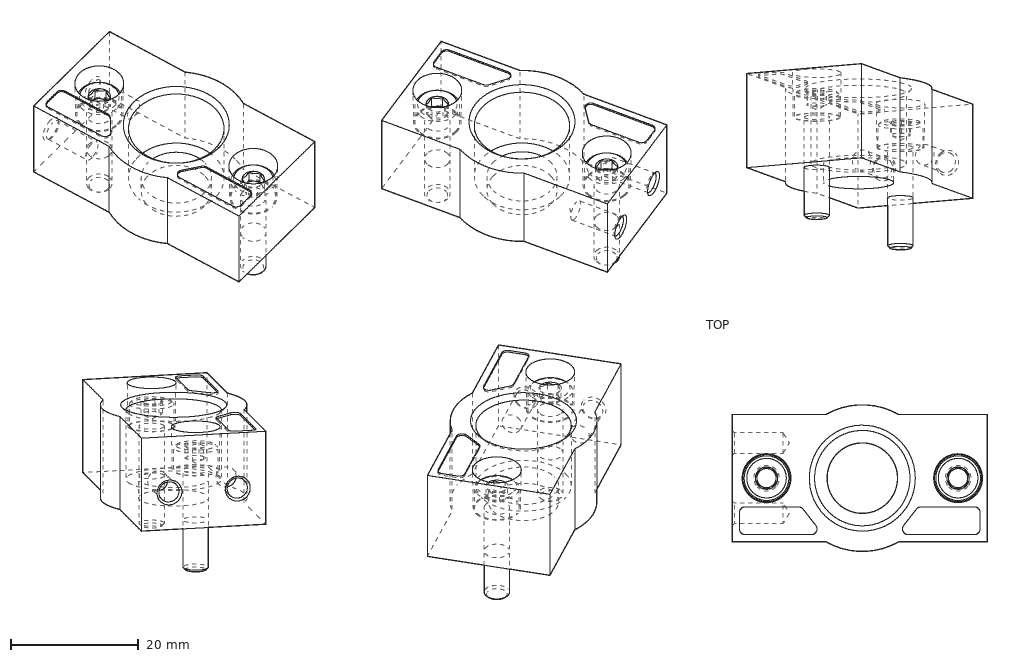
import cadquery as cq
import math

block_length = 40.0
block_width = 20.0
block_height = 15.0
bulge_diameter = 23.0

bore_x = 0.4
bore_diameter = 14.95
bore_floor_z = 3.0
bore_mouth_diameter = 16.6
bore_mouth_depth = 0.85
through_diameter = 11.0

screw_spacing = 30.0
shank_diameter = 4.0
thread_core_diameter = 3.24
thread_chamfer = (shank_diameter - thread_core_diameter) / 2
shank_projection = 8.0
head_diameter = 7.0
head_height = 4.0
head_chamfer = 0.4
head_recess = 3.0
socket_across_flats = 3.0
socket_sides = 6
socket_half_angle = 180.0 / socket_sides
socket_across_corners = socket_across_flats / math.cos(math.radians(socket_half_angle))
socket_depth = 2.0
socket_mouth_diameter = 3.5
socket_mouth_depth = 0.25
socket_point_angle = 120.0
counterbore_seat_diameter = 7.4
counterbore_mouth_diameter = 7.65
head_top_z = block_height - head_recess
head_seat_z = head_top_z - head_height
screw_centers = [(bore_x - screw_spacing / 2, 0), (bore_x + screw_spacing / 2, 0)]

side_hole_spacing = 11.0
side_hole_z = 6.0
side_hole_depth = 8.0
drill_point_angle = 118.0

label_margin = 1.15
label_depth = 0.3
label_height = 4.35
label_top_length = 9.7
label_bottom_length = 13.1
label_corner_radius = 0.9


def cone_height(diameter, tip_angle):
    return diameter / 2 / math.tan(math.radians(tip_angle / 2))


def revolve_profile(points):
    """Turn a (radius, height) outline that starts and ends on the Z axis into a solid."""
    return cq.Workplane("XZ").polyline(points).close().revolve(360, (0, 0, 0), (0, 1, 0))


def make_bore_cutter():
    bore_radius = bore_diameter / 2
    through_radius = through_diameter / 2
    mouth_radius = bore_mouth_diameter / 2
    return revolve_profile([
        (0, 0),
        (through_radius, 0),
        (through_radius, bore_floor_z),
        (bore_radius, bore_floor_z),
        (bore_radius, block_height - bore_mouth_depth),
        (mouth_radius, block_height),
        (0, block_height),
    ]).translate((bore_x, 0, 0))


def make_screw_hole_cutter():
    """Close-fitting shank hole below a counterbore that tapers open toward its mouth."""
    shank_radius = shank_diameter / 2
    return revolve_profile([
        (0, 0),
        (shank_radius, 0),
        (shank_radius, head_seat_z),
        (counterbore_seat_diameter / 2, head_seat_z),
        (counterbore_mouth_diameter / 2, block_height),
        (0, block_height),
    ])


def make_side_hole_cutter():
    """Blind hole running along +X from the origin, with a chamfered mouth and a drill point."""
    core_radius = thread_core_diameter / 2
    tip_depth = side_hole_depth + cone_height(thread_core_diameter, drill_point_angle)
    cutter = revolve_profile([
        (0, 0),
        (shank_diameter / 2, 0),
        (core_radius, thread_chamfer),
        (core_radius, side_hole_depth),
        (0, tip_depth),
    ])
    return cutter.rotate((0, 0, 0), (0, 1, 0), 90)


def make_label_pocket():
    """Pocket for the -X half: square outer end, slanted inner end, rounded corners."""
    outer_x = -block_length / 2 + label_margin
    bottom_y = -block_width / 2 + label_margin
    top_y = bottom_y + label_height
    outline = [
        (outer_x, bottom_y),
        (outer_x + label_bottom_length, bottom_y),
        (outer_x + label_top_length, top_y),
        (outer_x, top_y),
    ]
    pocket = cq.Workplane("XY").workplane(offset=block_height - label_depth)
    return pocket.polyline(outline).close().extrude(label_depth).edges("|Z").fillet(label_corner_radius)


def make_block():
    block = cq.Workplane("XY").box(block_length, block_width, block_height, centered=(True, True, False))
    bulge = cq.Workplane("XY").center(bore_x, 0).circle(bulge_diameter / 2).extrude(block_height)
    block = block.union(bulge).cut(make_bore_cutter())

    for x, y in screw_centers:
        block = block.cut(make_screw_hole_cutter().translate((x, y, 0)))

    for y in (-side_hole_spacing / 2, side_hole_spacing / 2):
        block = block.cut(make_side_hole_cutter().translate((-block_length / 2, y, side_hole_z)))

    pocket = make_label_pocket()
    return block.cut(pocket).cut(pocket.mirror("YZ"))


def make_socket_cutter():
    """Hexagon with flats facing +X and -X, a chamfered mouth and a drill point below its floor."""
    floor_z = head_top_z - socket_depth
    floor = cq.Workplane("XY", origin=(0, 0, floor_z))
    hexagon = floor.polygon(socket_sides, socket_across_corners).extrude(socket_depth)
    hexagon = hexagon.rotate((0, 0, 0), (0, 0, 1), socket_half_angle)
    mouth = revolve_profile([
        (0, head_top_z - socket_mouth_depth),
        (socket_across_flats / 2, head_top_z - socket_mouth_depth),
        (socket_mouth_diameter / 2, head_top_z),
        (0, head_top_z),
    ])
    drill_point = revolve_profile([
        (0, floor_z),
        (socket_across_flats / 2, floor_z),
        (0, floor_z - cone_height(socket_across_flats, socket_point_angle)),
    ])
    return hexagon.union(mouth).union(drill_point)


def make_screw(x, y):
    shank_radius = shank_diameter / 2
    head_radius = head_diameter / 2
    screw = revolve_profile([
        (0, -shank_projection),
        (thread_core_diameter / 2, -shank_projection),
        (shank_radius, thread_chamfer - shank_projection),
        (shank_radius, head_seat_z),
        (head_radius, head_seat_z),
        (head_radius, head_top_z - head_chamfer),
        (head_radius - head_chamfer, head_top_z),
        (0, head_top_z),
    ])
    return screw.cut(make_socket_cutter()).translate((x, y, 0))


block = make_block()
screws = [make_screw(x, y) for x, y in screw_centers]

result = cq.Compound.makeCompound([block.val(), *[screw.val() for screw in screws]])